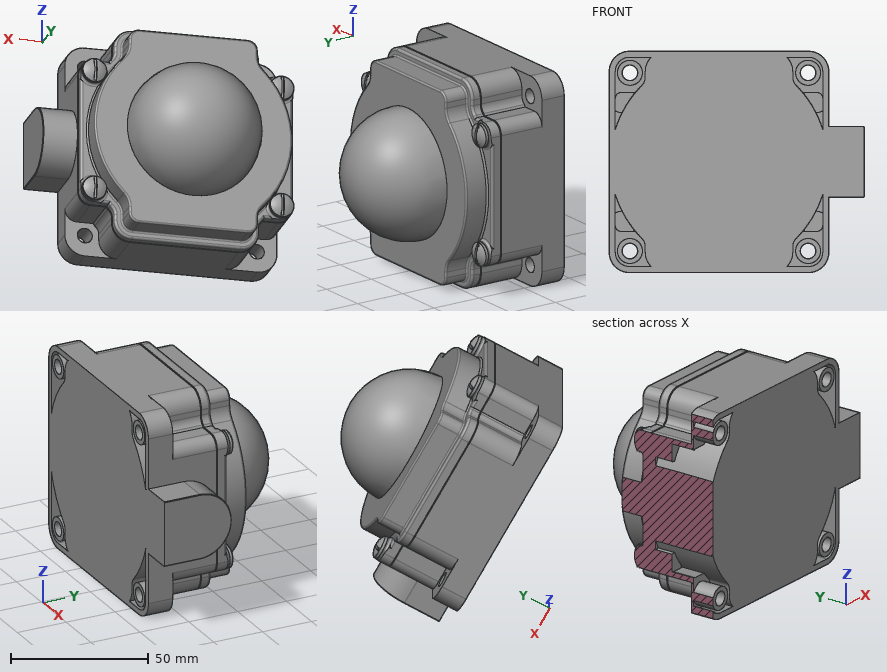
import cadquery as cq
import math

body_width = 80.2
body_height = 80.8
half_width = body_width / 2
half_height = body_height / 2
overall_width = 93.1
overall_depth = 66.7

flange_depth = 10.0
flange_corner_radius = 7.45
mount_hole_offset = 32.5
mount_hole_radius = 2.8
mount_tube_radius = 4.6

neck_half_width = 27.3
neck_corner_radius = 6.7
screw_x = 35.4
screw_z = 22.8
ear_corner_radius = half_width - screw_x
ear_top = screw_z + ear_corner_radius
notch_fillet = 4.0
notch_x = neck_half_width + notch_fillet
notch_z = ear_top + notch_fillet
notch_arc_end_x = 28.9
notch_step_x = 29.4

seam_depth = 27.9
seam_gap = 0.3
lid_top = 32.1
lid_edge_radius = 0.9

dome_radius = 25.1
tier_top = overall_depth - dome_radius
tier_radius = 37.35
tier_inset = 3.0
tier_edge_radius = 0.65
tier_base_fillet = 0.65

pad_radius = 4.6
pad_top = 33.5
pad_base_fillet = 0.9
head_radius = 4.5
head_rim = 34.65
head_top = 36.1
slot_width = 0.9
slot_bottom = 34.9

pocket_wall = 2.2
pocket_depth = 8.85
pocket_neck_half_width = 26.9
pocket_neck_radius = 7.45
pocket_blend_radius = 4.0
pocket_disc_radius = 39.7
recess_half_height = 25.3
recess_corner_radius = 2.1
recess_depth = 26.1
post_radius = 4.8
post_end = 18.6

cable_radius = 12.9
cable_axis_depth = 14.5
cable_edge_chamfer = 0.3


def at_depth(depth):
    """Workplane facing -Y; negative extrusions go to +Y."""
    return cq.Workplane("XZ", origin=(0, depth, 0))


def slab(width, height, start, end):
    return at_depth(start).rect(width, height).extrude(start - end)


def four_corners(x, z):
    return [(sx * x, sz * z) for sx in (-1, 1) for sz in (-1, 1)]


mount_points = four_corners(mount_hole_offset, mount_hole_offset)
screw_points = four_corners(screw_x, screw_z)


def discs(points, radius, start, end):
    return at_depth(start).pushPoints(points).circle(radius).extrude(start - end)


def arc_point(center, radius, angle):
    return (
        center[0] + radius * math.cos(math.radians(angle)),
        center[1] + radius * math.sin(math.radians(angle)),
    )


def housing_prism(start, end, inset=0):
    """Housing outline with a stepped notch at each corner, drawn as one quarter and mirrored."""
    neck_center = (neck_half_width - neck_corner_radius, half_height - neck_corner_radius)
    neck_radius = neck_corner_radius - inset
    notch_center = (notch_x, notch_z)
    notch_radius = notch_fillet + inset
    ear_center = (screw_x, screw_z)
    ear_radius = ear_corner_radius - inset
    step_drop = math.sqrt(notch_radius**2 - (notch_x - notch_arc_end_x) ** 2)
    step_angle = 180 + math.degrees(math.asin(step_drop / notch_radius))
    quarter = (
        at_depth(start)
        .moveTo(0, half_height - inset)
        .lineTo(*arc_point(neck_center, neck_radius, 90))
        .threePointArc(
            arc_point(neck_center, neck_radius, 45),
            arc_point(neck_center, neck_radius, 0),
        )
        .lineTo(*arc_point(notch_center, notch_radius, 180))
        .threePointArc(
            arc_point(notch_center, notch_radius, (180 + step_angle) / 2),
            (notch_arc_end_x, notch_z - step_drop),
        )
        .lineTo(notch_step_x, ear_top - inset)
        .lineTo(*arc_point(ear_center, ear_radius, 90))
        .threePointArc(arc_point(ear_center, ear_radius, 45), arc_point(ear_center, ear_radius, 0))
        .lineTo(half_width - inset, 0)
    )
    return quarter.mirrorY().mirrorX().extrude(start - end)


def tier_prism(start, end):
    """Disc with straight top and bottom blocks, blended by arcs tangent to the disc."""
    top = half_height - tier_inset
    blend_center = (notch_x, notch_z)
    blend_radius = math.hypot(*blend_center) - tier_radius
    tangent_angle = math.degrees(math.atan2(notch_z, notch_x))
    side_x = notch_x - blend_radius
    corner_radius = neck_corner_radius - tier_inset
    corner_center = (side_x - corner_radius, top - corner_radius)
    quarter = (
        at_depth(start)
        .moveTo(0, top)
        .lineTo(corner_center[0], top)
        .threePointArc(arc_point(corner_center, corner_radius, 45), (side_x, corner_center[1]))
        .lineTo(side_x, notch_z)
        .threePointArc(
            arc_point(blend_center, blend_radius, 180 + tangent_angle / 2),
            arc_point((0, 0), tier_radius, tangent_angle),
        )
        .threePointArc(arc_point((0, 0), tier_radius, tangent_angle / 2), (tier_radius, 0))
    )
    return quarter.mirrorY().mirrorX().extrude(start - end)


def make_base():
    flange = slab(body_width, body_height, 0, flange_depth).edges("|Y").fillet(flange_corner_radius)
    housing = housing_prism(flange_depth, seam_depth)
    return flange.union(housing)


def make_lid():
    seam = housing_prism(seam_depth, seam_depth + seam_gap, seam_gap)
    lid = housing_prism(seam_depth + seam_gap, lid_top).faces(">Y").edges().fillet(lid_edge_radius)
    tier = tier_prism(lid_top, tier_top).faces(">Y").edges().fillet(tier_edge_radius)
    lid = lid.union(tier)
    reach = tier_radius + tier_base_fillet
    foot_zone = cq.selectors.BoxSelector(
        (-reach, lid_top - tier_base_fillet / 2, -reach),
        (reach, lid_top + tier_base_fillet / 2, reach),
        boundingbox=True,
    )
    lid = lid.edges(foot_zone).fillet(tier_base_fillet)
    return lid.union(seam)


def make_dome():
    ball = cq.Workplane("XY", origin=(0, tier_top, 0)).sphere(dome_radius)
    return ball.intersect(slab(body_width, body_height, tier_top, overall_depth))


def make_screws():
    """Flared round pads trimmed to the housing outline, each with a slotted domed screw head."""
    lid_bottom = seam_depth + seam_gap
    base_radius = pad_radius + pad_base_fillet
    fillet_bow = pad_base_fillet * (1 - math.sqrt(0.5))
    pad_profile = (
        cq.Workplane("XY")
        .moveTo(0, lid_bottom)
        .lineTo(base_radius, lid_bottom)
        .lineTo(base_radius, lid_top)
        .threePointArc(
            (pad_radius + fillet_bow, lid_top + fillet_bow),
            (pad_radius, lid_top + pad_base_fillet),
        )
        .lineTo(pad_radius, pad_top)
        .lineTo(0, pad_top)
        .close()
    )
    pad = pad_profile.revolve(360, (0, 0), (0, 1))
    dome_height = head_top - head_rim
    dome_sphere_radius = (head_radius**2 + dome_height**2) / (2 * dome_height)
    dome_half_angle = math.asin(head_radius / dome_sphere_radius) / 2
    dome_mid = (
        dome_sphere_radius * math.sin(dome_half_angle),
        head_top - dome_sphere_radius * (1 - math.cos(dome_half_angle)),
    )
    head_profile = (
        cq.Workplane("XY")
        .moveTo(0, pad_top)
        .lineTo(head_radius, pad_top)
        .lineTo(head_radius, head_rim)
        .threePointArc(dome_mid, (0, head_top))
        .close()
    )
    head = head_profile.revolve(360, (0, 0), (0, 1))
    head = head.cut(slab(slot_width, 2 * head_radius, slot_bottom, head_top))
    screw = pad.union(head)
    screws = cq.Workplane("XY")
    for x, z in screw_points:
        screws = screws.union(screw.translate((x, 0, z)))
    return screws.intersect(housing_prism(lid_bottom, head_top))


def make_pockets():
    """Corner pockets outside the central disc and the neck, around the tubes of the mounting holes."""
    inner_width = body_width - 2 * pocket_wall
    inner_height = body_height - 2 * pocket_wall
    inner_radius = flange_corner_radius - pocket_wall
    opening = slab(inner_width, inner_height, 0, pocket_depth).edges("|Y").fillet(inner_radius)
    recess = slab(inner_width, 2 * recess_half_height, 0, recess_depth)
    recess = recess.edges("|Y").fillet(recess_corner_radius)
    neck = slab(2 * pocket_neck_half_width, body_height, 0, recess_depth)
    neck = neck.edges("|Y").fillet(pocket_neck_radius)
    core = neck.union(discs([(0, 0)], pocket_disc_radius, 0, recess_depth))
    meeting_z = math.sqrt(pocket_disc_radius**2 - pocket_neck_half_width**2)
    for x, z in four_corners(pocket_neck_half_width, meeting_z):
        crease = cq.selectors.NearestToPointSelector((x, recess_depth / 2, z))
        core = core.edges(crease).fillet(pocket_blend_radius)
    posts = discs(screw_points, post_radius, post_end, recess_depth)
    tubes = discs(mount_points, mount_tube_radius, 0, pocket_depth)
    return opening.union(recess).cut(core).cut(posts).cut(tubes)


def make_cable_entry():
    end_x = overall_width - half_width
    outline = (
        cq.Workplane("YZ")
        .moveTo(0, -cable_radius)
        .lineTo(cable_axis_depth, -cable_radius)
        .threePointArc((cable_axis_depth + cable_radius, 0), (cable_axis_depth, cable_radius))
        .lineTo(0, cable_radius)
        .close()
    )
    return outline.extrude(end_x).faces(">X").edges("not <Y").chamfer(cable_edge_chamfer)


mount_holes = discs(mount_points, mount_hole_radius, 0, flange_depth)
result = make_base().union(make_lid()).union(make_dome()).union(make_cable_entry())
result = result.cut(make_pockets()).cut(mount_holes).union(make_screws()).solids()